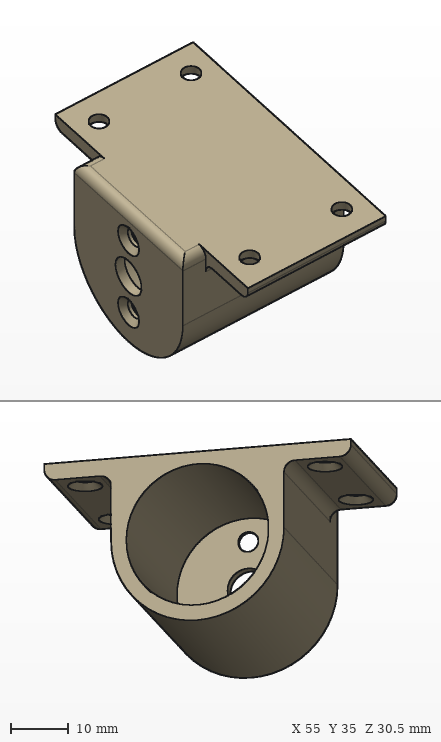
import cadquery as cq

plate_width = 55.0
plate_thickness = 3.0
body_depth = 35.0
body_radius = 15.5
axis_drop = 15.0
nose_length = 5.0
edge_radius = 2.0

bore_diameter = 25.5
front_wall = 2.0
shaft_hole_diameter = 7.4

screw_hole_diameter = 3.6
countersink_diameter = 6.0
countersink_angle = 90
front_screw_offset = 8.5

plate_hole_spacing_x = 43.0
plate_hole_spacing_y = 20.0
plate_hole_back_margin = 5.0

plate_depth = body_depth - nose_length
body_side = body_radius


def extrude_back(profile, start, length):
    """Extrude an XZ profile towards +Y, beginning at Y = start."""
    return profile.extrude(-length).translate((0, start, 0))


def make_body(start, length):
    """U-shaped block with a flat top and a half-round underside."""
    profile = (
        cq.Workplane("XZ")
        .moveTo(-body_side, 0)
        .lineTo(-body_side, -axis_drop)
        .threePointArc((0, -axis_drop - body_radius), (body_side, -axis_drop))
        .lineTo(body_side, 0)
        .close()
    )
    return extrude_back(profile, start, length)


def make_nose():
    """Front stretch of the body, with its front and side top edges rounded."""
    nose = make_body(0, nose_length)
    top_edges = nose.faces(">Z").edges("<Y or <X or >X")
    return nose.newObject(top_edges.vals()).fillet(edge_radius)


def make_plate():
    """Mounting plate with rounded lower ends and fillets into the body sides."""
    half_width = plate_width / 2
    fillet_start = body_side + edge_radius
    fillet_bottom = -plate_thickness - edge_radius
    profile = (
        cq.Workplane("XZ")
        .moveTo(-half_width, 0)
        .lineTo(half_width, 0)
        .lineTo(half_width, edge_radius - plate_thickness)
        .radiusArc((half_width - edge_radius, -plate_thickness), edge_radius)
        .lineTo(fillet_start, -plate_thickness)
        .radiusArc((body_side, fillet_bottom), -edge_radius)
        .lineTo(-body_side, fillet_bottom)
        .radiusArc((-fillet_start, -plate_thickness), -edge_radius)
        .lineTo(edge_radius - half_width, -plate_thickness)
        .radiusArc((-half_width, edge_radius - plate_thickness), edge_radius)
        .close()
    )
    return extrude_back(profile, nose_length, plate_depth)


def make_bore():
    """Round pocket, open at the back and closed by the front wall."""
    profile = cq.Workplane("XZ").center(0, -axis_drop).circle(bore_diameter / 2)
    return extrude_back(profile, front_wall, body_depth - front_wall)


def cut_front_holes(part):
    """Shaft hole on the bore axis, with a countersunk screw hole above and below."""
    front = cq.Workplane("XZ").center(0, -axis_drop)
    part = part.cut(front.circle(shaft_hole_diameter / 2).extrude(-front_wall))
    return (
        part.faces("<Y")
        .workplane(origin=(0, 0, -axis_drop))
        .pushPoints([(0, front_screw_offset), (0, -front_screw_offset)])
        .cskHole(screw_hole_diameter, countersink_diameter, countersink_angle, depth=front_wall)
    )


def cut_plate_holes(part):
    """Four holes near the corners of the plate, countersunk from its underside."""
    centre_y = body_depth - plate_hole_back_margin - plate_hole_spacing_y / 2
    return (
        part.copyWorkplane(cq.Workplane("XY", origin=(0, centre_y, -plate_thickness)))
        .transformed(rotate=(180, 0, 0))
        .rect(plate_hole_spacing_x, plate_hole_spacing_y, forConstruction=True)
        .vertices()
        .cskHole(screw_hole_diameter, countersink_diameter, countersink_angle, depth=plate_thickness)
    )


body = make_nose().union(make_body(nose_length, plate_depth))
bracket = body.union(make_plate()).cut(make_bore())
bracket = cut_front_holes(bracket)
result = cut_plate_holes(bracket)